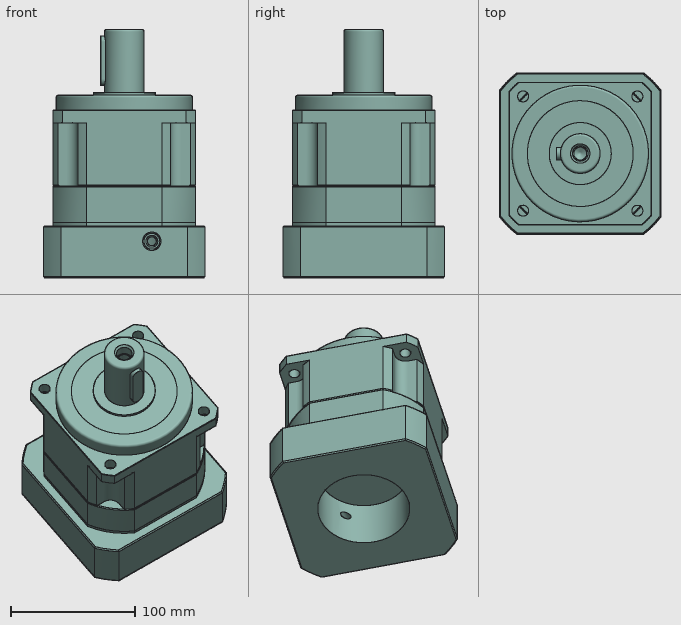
import cadquery as cq
import math

base_top = 41.8
register_top = 44.5
joint_height = 74.0
flange_bottom = 124.8
flange_top = 135.0
pilot_top = 147.0
collar_top = 149.0
overall_height = 200.0

base_width = 130.0
base_corner_radius = 82.5
base_chamfer = 1.0
motor_bore_radius = 37.0

access_x = 22.2
access_z = 29.5
access_radius = 6.5
access_mouth_chamfer = 1.0
access_depth = 16.0
access_inner_radius = 3.5
access_inner_chamfer = 1.2

body_width = 114.8
body_corner_radius = 65.0
flange_corner_radius = 76.0
joint_chamfer = 0.8
flange_chamfer = 0.5
pilot_radius = 55.0
pilot_fillet = 2.0

bolt_offset = 46.0
bolt_hole_radius = 4.5
pocket_radius = 8.8

disc_radius = 42.5
disc_bottom = flange_top
collar_radius = 25.0
shaft_radius = 16.0
shaft_fillet = 2.0

center_mouth_chamfer = 1.5
center_radius = 6.2
center_depth = 10.0
center_drill_radius = 5.2
center_drill_depth = 28.0
center_drill_tip_angle = 120.0

key_width = 10.0
key_length = 40.0
key_bottom = 154.8
key_outer_x = -19.0
key_root_x = -shaft_radius / 2


def cylinder(radius, bottom, top):
    """Cylinder around Z between two heights."""
    return cq.Workplane("XY", origin=(0, 0, bottom)).circle(radius).extrude(top - bottom)


def rounded_square(width, corner_radius, bottom, top):
    """Square block whose four corners are rounded by one large cylinder around Z."""
    square = cq.Workplane("XY", origin=(0, 0, bottom)).rect(width, width).extrude(top - bottom)
    return square.intersect(cylinder(corner_radius, bottom, top))


def at_four_corners(shape):
    """The shape and its three copies, turned about Z by quarter turns."""
    return [shape.rotate((0, 0, 0), (0, 0, 1), 90 * turn) for turn in range(4)]


def make_access_hole():
    """Chamfered counterbore from the front face, then a chamfered hole into the motor bore."""
    mouth_radius = access_radius + access_mouth_chamfer
    inner_mouth_radius = access_inner_radius + access_inner_chamfer
    half_profile = [
        (0, 0),
        (mouth_radius, 0),
        (access_radius, access_mouth_chamfer),
        (access_radius, access_depth),
        (inner_mouth_radius, access_depth),
        (access_inner_radius, access_depth + access_inner_chamfer),
        (access_inner_radius, base_width / 2),
        (0, base_width / 2),
    ]
    hole = cq.Workplane("XY").polyline(half_profile).close().revolve(360, (0, 0, 0), (0, 1, 0))
    return hole.translate((access_x, -base_width / 2, access_z))


def make_base():
    block = rounded_square(base_width, base_corner_radius, 0, base_top)
    block = block.faces("<Z or >Z").edges().chamfer(base_chamfer)
    register = rounded_square(body_width, body_corner_radius, base_top, register_top)
    motor_bore = cylinder(motor_bore_radius, 0, register_top)
    return block.union(register).cut(motor_bore).cut(make_access_hole())


def make_bolt_pocket():
    """Square corner pocket below the flange, with its inner corner filleted."""
    inner = bolt_offset - pocket_radius
    size = body_width / 2 - inner
    return (
        cq.Workplane("XY", origin=(inner, inner, joint_height))
        .rect(size, size, centered=False)
        .extrude(flange_bottom - joint_height)
        .edges("|Z and <X and <Y")
        .fillet(pocket_radius)
    )


def make_bolt_hole():
    return cylinder(bolt_hole_radius, flange_bottom, flange_top).translate((bolt_offset, bolt_offset, 0))


def make_housing():
    ring = rounded_square(body_width, body_corner_radius, register_top, joint_height)
    ring = ring.faces(">Z").edges().chamfer(joint_chamfer)

    upper = rounded_square(body_width, body_corner_radius, joint_height, flange_bottom)
    upper = upper.faces("<Z").edges().chamfer(joint_chamfer)
    for pocket in at_four_corners(make_bolt_pocket()):
        upper = upper.cut(pocket)

    flange = rounded_square(body_width, flange_corner_radius, flange_bottom, flange_top)
    flange = flange.faces(">Z").edges().chamfer(flange_chamfer)
    for hole in at_four_corners(make_bolt_hole()):
        flange = flange.cut(hole)

    pilot = cylinder(pilot_radius, flange_top, pilot_top).faces(">Z").edges().fillet(pilot_fillet)
    disc_seat = cylinder(disc_radius, disc_bottom, pilot_top)
    return ring.union(upper).union(flange).union(pilot).cut(disc_seat)


def make_center_hole():
    """Chamfered counterbore and a drilled hole with a conical end, measured down from the shaft end."""
    tip_height = center_drill_radius / math.tan(math.radians(center_drill_tip_angle / 2))
    half_profile = [
        (0, 0),
        (center_radius + center_mouth_chamfer, 0),
        (center_radius, -center_mouth_chamfer),
        (center_radius, -center_depth),
        (center_drill_radius, -center_depth),
        (center_drill_radius, -center_drill_depth),
        (0, -center_drill_depth - tip_height),
    ]
    hole = cq.Workplane("XZ").polyline(half_profile).close().revolve(360, (0, 0, 0), (0, 1, 0))
    return hole.translate((0, 0, overall_height))


def make_key():
    """Round-ended key, rooted inside the shaft."""
    key_plane = cq.Plane(
        origin=(key_outer_x, 0, key_bottom + key_length / 2),
        xDir=(0, 0, 1),
        normal=(1, 0, 0),
    )
    return cq.Workplane(key_plane).slot2D(key_length, key_width).extrude(key_root_x - key_outer_x)


def make_shaft():
    disc = cylinder(disc_radius, disc_bottom, pilot_top)
    collar = cylinder(collar_radius, pilot_top, collar_top)
    journal = cylinder(shaft_radius, collar_top, overall_height)
    journal = journal.faces(">Z").edges().fillet(shaft_fillet)
    return disc.union(collar).union(journal).union(make_key()).cut(make_center_hole())


base = make_base()
housing = make_housing()
shaft = make_shaft()

result = cq.Compound.makeCompound([base.val(), housing.val(), shaft.val()])